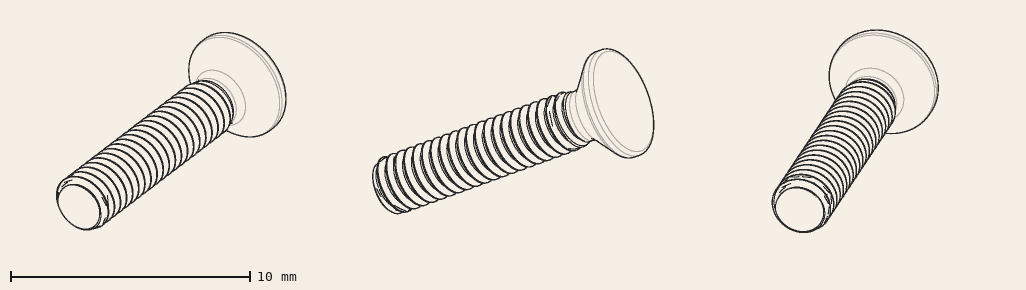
import cadquery as cq
import math

LENGTH = 12.0
THREAD_RADIUS = 2.5 / 2
PITCH = 0.45

HEAD_RADIUS = 4.7 / 2
RIM_HEIGHT = 0.47
RIM_FILLET = 0.15
CONE_HALF_ANGLE = 45.0

NECK_RADIUS = 1.104
NECK_FILLET = 0.6
NECK_END_DEPTH = 2.175

FLANK_HALF_ANGLE = 30.0
CREST_FLAT = PITCH / 8
ROOT_RADIUS = 0.98
RIDGE_OVERLAP = 0.03
CREST_DEPTH_AT_X = 2.625
LEAD_IN_LENGTH = 0.44
TIP_CHAMFER = 0.18
ENVELOPE_CLEARANCE = 0.1

neck_start_depth = RIM_HEIGHT + (HEAD_RADIUS - NECK_RADIUS) / math.tan(math.radians(CONE_HALF_ANGLE))


def revolve_outline(points):
    """Turn (radius, depth) points about the Z axis, with depth running toward -Z."""
    outline = [(radius, -depth) for radius, depth in points]
    return cq.Workplane("XZ").polyline(outline).close().revolve(360, (0, 0), (0, 1))


def fillet_circle(body, depth, radius, fillet_radius):
    """Round the circular edge of the given radius at the given depth."""
    margin = 0.01
    reach = radius + margin
    box = cq.selectors.BoxSelector((-reach, -reach, -depth - margin), (reach, reach, -depth + margin), True)
    return body.edges("%CIRCLE").edges(box).fillet(fillet_radius)


def make_body():
    """Head, neck and the thread's root cylinder."""
    body = revolve_outline([
        (0, 0),
        (HEAD_RADIUS, 0),
        (HEAD_RADIUS, RIM_HEIGHT),
        (NECK_RADIUS, neck_start_depth),
        (NECK_RADIUS, NECK_END_DEPTH),
        (ROOT_RADIUS, NECK_END_DEPTH),
        (ROOT_RADIUS, LENGTH),
        (0, LENGTH),
    ])
    body = fillet_circle(body, neck_start_depth, NECK_RADIUS, NECK_FILLET)
    body = fillet_circle(body, 0, HEAD_RADIUS, RIM_FILLET)
    return fillet_circle(body, RIM_HEIGHT, HEAD_RADIUS, RIM_FILLET)


def make_thread_envelope():
    """Outer limit of the thread: a cone at the lead-in, a chamfer at the tip, clear of the crests between."""
    lead_in_slope = (THREAD_RADIUS - NECK_RADIUS) / LEAD_IN_LENGTH
    outer_radius = THREAD_RADIUS + ENVELOPE_CLEARANCE
    return revolve_outline([
        (0, NECK_END_DEPTH),
        (NECK_RADIUS, NECK_END_DEPTH),
        (outer_radius, NECK_END_DEPTH + (outer_radius - NECK_RADIUS) / lead_in_slope),
        (outer_radius, LENGTH - TIP_CHAMFER - ENVELOPE_CLEARANCE),
        (THREAD_RADIUS - TIP_CHAMFER, LENGTH),
        (0, LENGTH),
    ])


def make_thread_ridge():
    """Right-hand helical ridge that runs past both ends of the threaded shank."""
    flank_slope = math.tan(math.radians(FLANK_HALF_ANGLE))
    inner_radius = ROOT_RADIUS - RIDGE_OVERLAP
    crest_half_width = CREST_FLAT / 2
    base_half_width = crest_half_width + (THREAD_RADIUS - inner_radius) * flank_slope

    turns_below = math.ceil((LENGTH + base_half_width - CREST_DEPTH_AT_X) / PITCH)
    turns_above = math.ceil((CREST_DEPTH_AT_X + base_half_width - NECK_END_DEPTH) / PITCH)
    start_depth = CREST_DEPTH_AT_X + turns_below * PITCH
    helix_height = (turns_below + turns_above) * PITCH

    helix = cq.Wire.makeHelix(PITCH, helix_height, inner_radius)
    ridge = (
        cq.Workplane("XZ")
        .polyline([
            (inner_radius, -base_half_width),
            (THREAD_RADIUS, -crest_half_width),
            (THREAD_RADIUS, crest_half_width),
            (inner_radius, base_half_width),
        ])
        .close()
        .sweep(cq.Workplane(helix), isFrenet=True)
    )
    return ridge.translate((0, 0, -start_depth))


thread = make_thread_ridge().intersect(make_thread_envelope())
screw = make_body().union(thread)

result = screw.rotate((0, 0, 0), (1, 0, 0), -90)